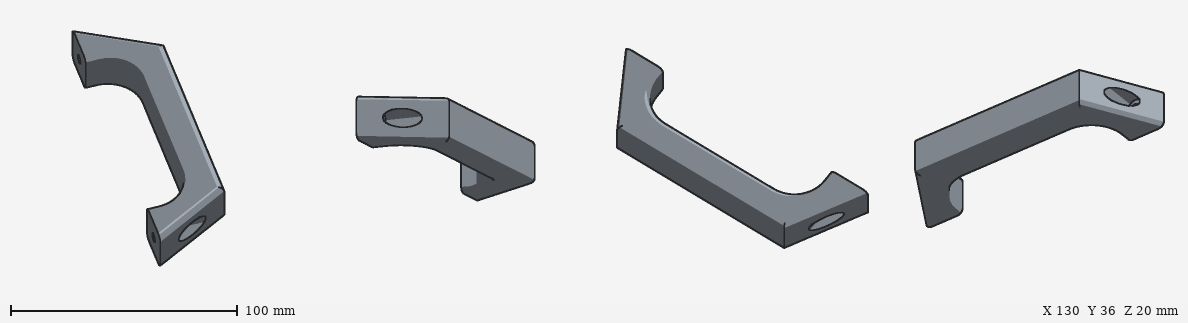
import cadquery as cq

length = 130.0
depth = 36.0
thickness = 20.0

foot_width = 20.0
back_length = 89.7
opening_depth = 21.0
opening_radius = 16.0
edge_radius = 3.0

screw_diameter = 4.2
head_diameter = 8.5
head_seat = 7.8

half_length = length / 2
half_back = back_length / 2
half_opening = half_length - foot_width
hole_x = half_length - foot_width / 2


def handle_body():
    """Trapezoid with a round-cornered opening; top and bottom rims rounded, except at the feet."""
    outer = (
        cq.Workplane("XY")
        .polyline([
            (-half_length, 0),
            (half_length, 0),
            (half_back, depth),
            (-half_back, depth),
        ])
        .close()
        .extrude(thickness / 2, both=True)
    )
    opening = (
        cq.Workplane("XY")
        .rect(2 * half_opening, 2 * opening_depth)
        .extrude(thickness, both=True)
        .edges("|Z and >Y")
        .fillet(opening_radius)
    )
    body = outer.cut(opening)
    feet_edges = body.faces("<Y").edges()
    side_edges = body.faces("<Z or >Z").edges()
    return body.newObject(
        [edge for edge in side_edges.vals()
         if not any(edge.isSame(foot_edge) for foot_edge in feet_edges.vals())]
    ).fillet(edge_radius)


def hole_cutter(x):
    """Screw hole through the foot, widened for the head from the seat to the slanted side."""
    screw = cq.Workplane("XZ").center(x, 0).circle(screw_diameter / 2).extrude(-depth)
    head = (
        cq.Workplane("XZ", origin=(x, head_seat, 0))
        .circle(head_diameter / 2)
        .extrude(-(depth - head_seat))
    )
    return screw.union(head)


result = handle_body()
for side in (-1, 1):
    result = result.cut(hole_cutter(side * hole_x))